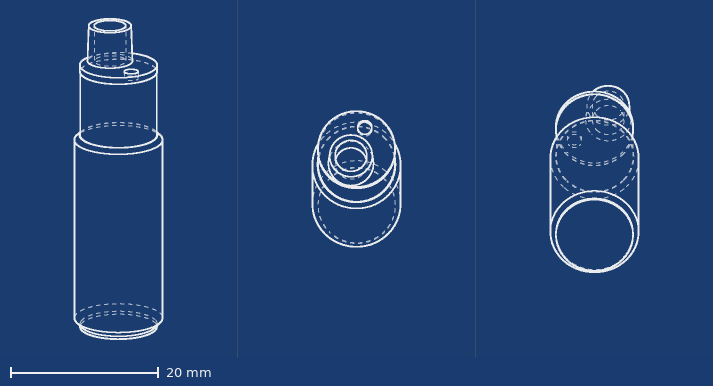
import cadquery as cq

total_height = 42.5
body_diameter = 12.0
neck_diameter = 10.4
shoulder_diameter = 10.6
cap_diameter = 10.5
foot_diameter = 10.45

foot_height = 0.42
body_start = 1.25
body_end = 26.78
neck_start = 27.45
cap_start = 36.55
cap_top = 37.5

sleeve_x = -2.12
sleeve_base_diameter = 6.1
sleeve_top_diameter = 5.8
sleeve_bore_diameter = 4.3
sleeve_height = total_height - cap_top

recess_x = 3.2
recess_diameter = 1.9
recess_depth = cap_top - cap_start


def make_housing():
    """Revolve the stepped and chamfered barrel about Z."""
    profile = [
        (0, 0),
        (foot_diameter / 2, 0),
        (foot_diameter / 2, foot_height),
        (body_diameter / 2, body_start),
        (body_diameter / 2, body_end),
        (shoulder_diameter / 2, neck_start),
        (neck_diameter / 2, neck_start),
        (neck_diameter / 2, cap_start),
        (cap_diameter / 2, cap_start),
        (cap_diameter / 2, cap_top),
        (0, cap_top),
    ]
    return cq.Workplane("XZ").polyline(profile).close().revolve(360, (0, 0), (0, 1))


def make_sleeve():
    """Loft the off-centre sleeve from its base to its narrower top."""
    return (
        cq.Workplane("XY", origin=(sleeve_x, 0, cap_top))
        .circle(sleeve_base_diameter / 2)
        .workplane(offset=sleeve_height)
        .circle(sleeve_top_diameter / 2)
        .loft()
    )


def make_blind_hole(x, top, diameter, depth):
    """Cylinder reaching down from the given top height."""
    return cq.Workplane("XY", origin=(x, 0, top)).circle(diameter / 2).extrude(-depth)


result = (
    make_housing()
    .union(make_sleeve())
    .cut(make_blind_hole(sleeve_x, total_height, sleeve_bore_diameter, sleeve_height))
    .cut(make_blind_hole(recess_x, cap_top, recess_diameter, recess_depth))
)